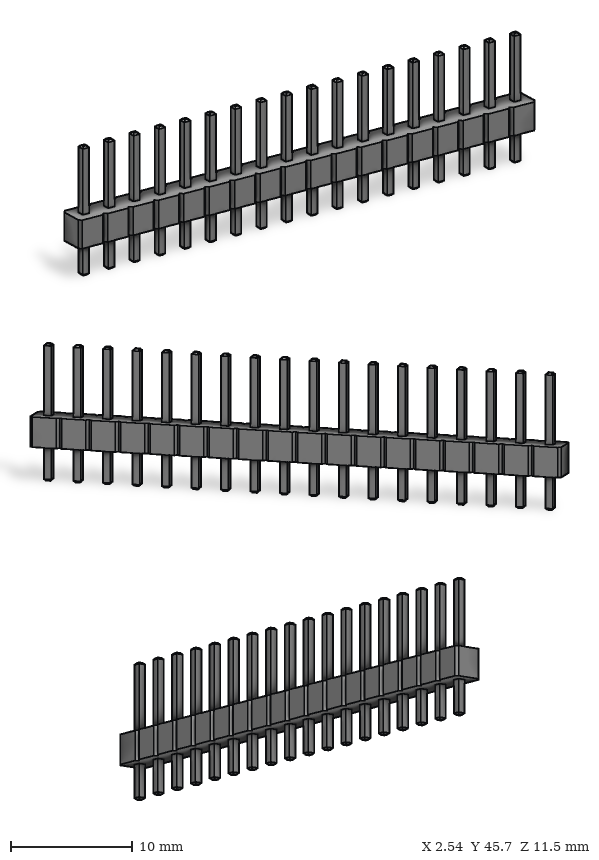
import cadquery as cq

strip_length = 45.7
pin_count = 18
pitch = strip_length / pin_count

block_size = pitch
block_bevel = block_size / 10

pin_width = 0.65
pin_tip_bevel = pin_width / 4
pin_length = 11.5
pin_below_body = 2.95


def insulator_block(y):
    """One cube of the strip, standing on Z = 0."""
    block = cq.Workplane("XY").box(block_size, pitch, block_size, centered=(True, True, False))
    return block.edges("|Z").chamfer(block_bevel).translate((0, y, 0))


def pin(y):
    """One square pin with both ends bevelled, passing through its block."""
    bar = cq.Workplane("XY").box(pin_width, pin_width, pin_length, centered=(True, True, False))
    bar = bar.faces("<Z or >Z").edges().chamfer(pin_tip_bevel)
    return bar.translate((0, y, -pin_below_body))


first_y = (pitch - strip_length) / 2
positions = [first_y + i * pitch for i in range(pin_count)]

header = insulator_block(positions[0])
for y in positions[1:]:
    header = header.union(insulator_block(y))
for y in positions:
    header = header.union(pin(y))

result = header.clean()